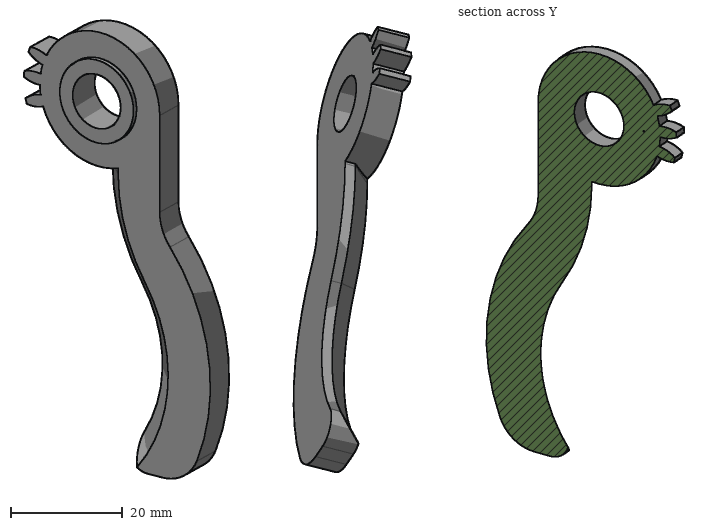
import cadquery as cq
import math


PLATE_THICKNESS = 6.0
HUB_RADIUS = 13.0
BOSS_RADIUS = 8.0
BOSS_HEIGHT = 1.0
BORE_RADIUS = 5.2

MODULE = 1.5
GEAR_TEETH = 20
PITCH_RADIUS = MODULE * GEAR_TEETH / 2
TIP_RADIUS = PITCH_RADIUS + MODULE
TOOTH_PITCH_ANGLE = 360.0 / GEAR_TEETH
MIDDLE_TOOTH_ANGLE = 4.0
ROOT_HALF_ANGLE = 4.9
PITCH_HALF_ANGLE = 4.0
TIP_HALF_ANGLE = 1.9
TOOTH_EMBED = 1.0

BEND_X, BEND_Z = -16.0, -50.0
BEND_OUTER_RADIUS = 40.0
NECK_RADIUS = 40.0
NECK_Z = -13.5
LEVER_BOTTOM_Z = -70.0
ELBOW_RADIUS = 10.0
INNER_TIP_RADIUS = 4.0
OUTER_TIP_RADIUS = 8.0
EDGE_CHAMFER = 4.0


def polar(center, radius, angle):
    """Point (x, z) at an angle in radians from +X around a center."""
    return (center[0] + radius * math.cos(angle), center[1] + radius * math.sin(angle))


def plate(outline):
    """Extrude a closed XZ outline from the front face (y = 0) to the back face."""
    return outline.extrude(-PLATE_THICKNESS)


def pointed_lever():
    """Lever before its tip corners are rounded and its inner edge is chamfered."""
    bend = (BEND_X, BEND_Z)
    neck = (NECK_RADIUS, NECK_Z)
    elbow_x = HUB_RADIUS + ELBOW_RADIUS
    elbow_rise = math.sqrt((BEND_OUTER_RADIUS + ELBOW_RADIUS) ** 2 - (elbow_x - BEND_X) ** 2)
    elbow = (elbow_x, BEND_Z + elbow_rise)

    inner_radius = math.dist(bend, neck) - NECK_RADIUS
    inner_start = math.atan2(NECK_Z - BEND_Z, NECK_RADIUS - BEND_X)
    outer_start = math.atan2(elbow[1] - BEND_Z, elbow_x - BEND_X)
    inner_end = math.asin((LEVER_BOTTOM_Z - BEND_Z) / inner_radius)
    outer_end = math.asin((LEVER_BOTTOM_Z - BEND_Z) / BEND_OUTER_RADIUS)

    outline = (
        cq.Workplane("XZ")
        .moveTo(0, 0)
        .lineTo(0, NECK_Z)
        .threePointArc(
            polar(neck, NECK_RADIUS, math.pi + inner_start / 2),
            polar(neck, NECK_RADIUS, math.pi + inner_start),
        )
        .threePointArc(
            polar(bend, inner_radius, (inner_start + inner_end) / 2),
            polar(bend, inner_radius, inner_end),
        )
        .lineTo(polar(bend, BEND_OUTER_RADIUS, outer_end)[0], LEVER_BOTTOM_Z)
        .threePointArc(
            polar(bend, BEND_OUTER_RADIUS, (outer_start + outer_end) / 2),
            polar(bend, BEND_OUTER_RADIUS, outer_start),
        )
        .threePointArc(
            polar(elbow, ELBOW_RADIUS, math.pi + outer_start / 2),
            (HUB_RADIUS, elbow[1]),
        )
        .lineTo(HUB_RADIUS, 0)
        .close()
    )
    return plate(outline)


def lever():
    """Lever with a chamfered inner front edge, trimmed by the rounded tip outline."""
    blank = pointed_lever()
    neck_edge = cq.selectors.NearestToPointSelector((0, 0, NECK_Z / 2))
    chamfered = blank.edges(neck_edge).chamfer(EDGE_CHAMFER)
    tip_edges = blank.edges("|Y").edges("<Z")
    inner_corner = tip_edges.edges("<X")
    outer_corner = tip_edges.edges(">X")
    rounded = inner_corner.fillet(INNER_TIP_RADIUS)
    rounded = rounded.intersect(outer_corner.fillet(OUTER_TIP_RADIUS))
    return chamfered.intersect(rounded)


def tooth(angle):
    """One gear tooth with bulging flanks, centered at an angle above -X."""
    def at(radius, offset):
        return polar((0, 0), radius, math.radians(180 - angle + offset))

    outline = (
        cq.Workplane("XZ")
        .moveTo(*at(HUB_RADIUS - TOOTH_EMBED, ROOT_HALF_ANGLE))
        .lineTo(*at(HUB_RADIUS, ROOT_HALF_ANGLE))
        .threePointArc(at(PITCH_RADIUS, PITCH_HALF_ANGLE), at(TIP_RADIUS, TIP_HALF_ANGLE))
        .threePointArc(at(TIP_RADIUS, 0), at(TIP_RADIUS, -TIP_HALF_ANGLE))
        .threePointArc(at(PITCH_RADIUS, -PITCH_HALF_ANGLE), at(HUB_RADIUS, -ROOT_HALF_ANGLE))
        .lineTo(*at(HUB_RADIUS - TOOTH_EMBED, -ROOT_HALF_ANGLE))
        .close()
    )
    return plate(outline)


def hub():
    """Round hub disc with its three teeth and the raised boss on the front face."""
    body = plate(cq.Workplane("XZ").circle(HUB_RADIUS))
    boss = cq.Workplane("XZ").circle(BOSS_RADIUS).extrude(BOSS_HEIGHT)
    body = body.union(boss)
    for step in (-1, 0, 1):
        body = body.union(tooth(MIDDLE_TOOTH_ANGLE + step * TOOTH_PITCH_ANGLE))
    return body


def bore():
    """Cylinder that passes through the boss and the hub."""
    length = PLATE_THICKNESS + BOSS_HEIGHT
    return cq.Workplane("XZ", origin=(0, PLATE_THICKNESS, 0)).circle(BORE_RADIUS).extrude(length)


result = lever().union(hub()).cut(bore())